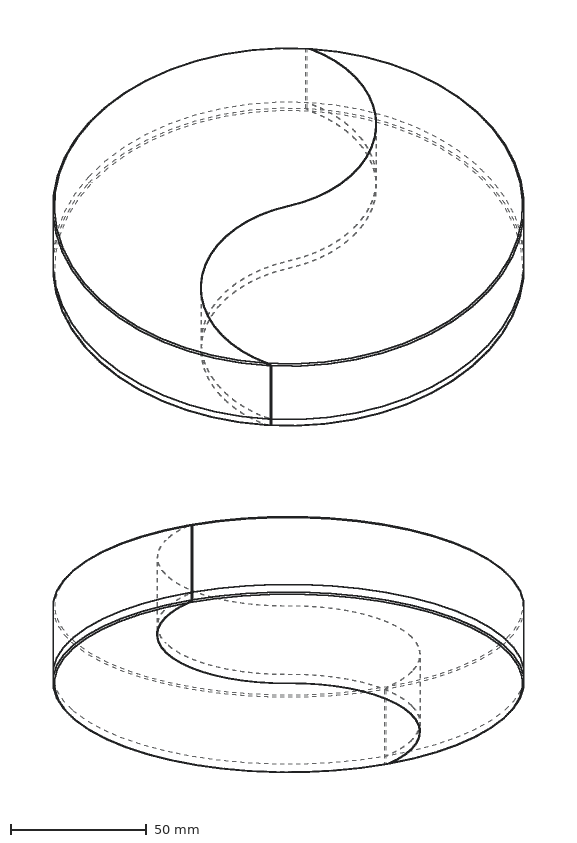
import cadquery as cq
import math

outer_diameter = 173.6
total_height = 30.9
base_height = 3.6
edge_chamfer = 0.6
seam_gap = 0.2

outer_radius = outer_diameter / 2
body_height = total_height - base_height

seam_angle = 45.0
arc_offset = outer_radius * math.sin(math.radians(seam_angle / 2))
arc_radius = arc_offset / math.cos(math.radians(seam_angle))
bulge_radius = arc_radius - seam_gap / 2
hollow_radius = arc_radius + seam_gap / 2

rim_angle = 90.0
middle_angle = (rim_angle - seam_angle) / 2
region_reach = outer_diameter


def arc_point(center_x, center_y, radius, degrees):
    """Point on a circle at the given angle from +X."""
    angle = math.radians(degrees)
    return (center_x + radius * math.cos(angle), center_y + radius * math.sin(angle))


def bulge_point(degrees):
    """Point on the seam arc at +Y."""
    return arc_point(-arc_offset, arc_offset, bulge_radius, degrees)


def hollow_point(degrees):
    """Point on the seam arc at -Y, which is the other arc turned half way round."""
    return arc_point(arc_offset, -arc_offset, hollow_radius, degrees + 180)


def half_region():
    """Full-height block that covers the -X side of the seam."""
    bulge_end = bulge_point(rim_angle)
    hollow_end = hollow_point(rim_angle)
    return (
        cq.Workplane("XY")
        .moveTo(*bulge_end)
        .threePointArc(bulge_point(middle_angle), bulge_point(-seam_angle))
        .threePointArc(hollow_point(middle_angle), hollow_end)
        .lineTo(region_reach, hollow_end[1])
        .lineTo(region_reach, -region_reach)
        .lineTo(-region_reach, -region_reach)
        .lineTo(-region_reach, bulge_end[1])
        .close()
        .extrude(total_height)
    )


def make_half(disc, turn):
    """The part of a disc on one side of the seam, turned about the Z axis."""
    return disc.intersect(half_region()).rotate((0, 0, 0), (0, 0, 1), turn).solids()


def make_base(turn):
    """Thin plate under one half, bevelled at the bottom rim."""
    disc = cq.Workplane("XY").circle(outer_radius).extrude(base_height)
    return make_half(disc.faces("<Z").chamfer(edge_chamfer), turn)


def make_body(turn):
    """Main block of one half, resting on its base and bevelled at the top rim."""
    disc = cq.Workplane("XY", origin=(0, 0, base_height)).circle(outer_radius).extrude(body_height)
    return make_half(disc.faces(">Z").chamfer(edge_chamfer), turn)


solids = []
for half_turn in (0, 180):
    solids.append(make_base(half_turn).val())
    solids.append(make_body(half_turn).val())

result = cq.Compound.makeCompound(solids)